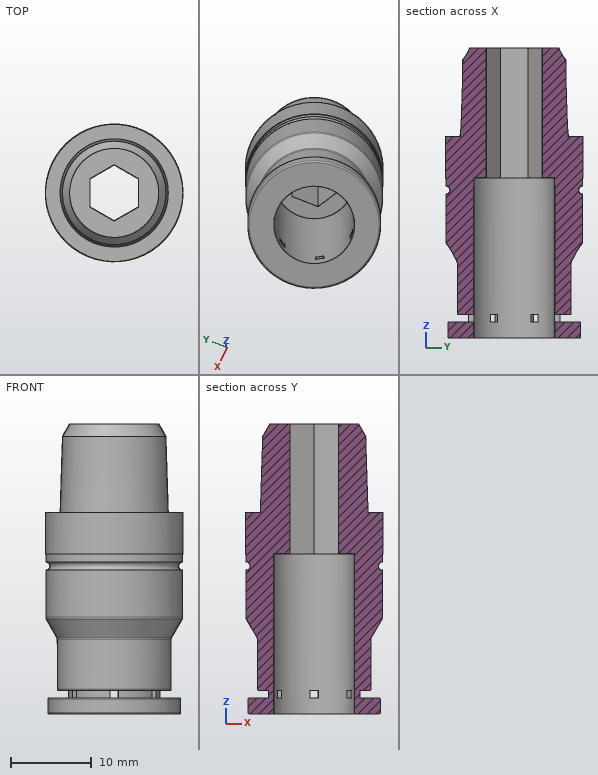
import cadquery as cq
import math

TOTAL_HEIGHT = 36.0
RING_HEIGHT = 2.0
BODY_BOTTOM = 2.9
BODY_CONE_TOP = 11.87
GROOVE_CENTRE = 18.35
COLLAR_BOTTOM = 19.85
COLLAR_TOP = 25.0

RING_RADIUS = 16.5 / 2
COLLET_RADIUS = 11.4 / 2
NECK_RADIUS = 14.14 / 2
BODY_RADIUS = 17.0 / 2
COLLAR_RADIUS = 17.1 / 2
STUB_BASE_RADIUS = 13.43 / 2
STUB_TOP_RADIUS = 12.84 / 2

CONE_ANGLE = math.radians(30)
TIP_CHAMFER_HEIGHT = 1.55
GROOVE_RADIUS = 0.5
SMALL_FILLET = 0.2
CONE_FILLET = 0.5

BORE_RADIUS = 10.0 / 2
BORE_DEPTH = COLLAR_BOTTOM
HEX_ACROSS_FLATS = 6.0
SLOT_COUNT = 6
SLOT_WIDTH = 1.0
FIRST_SLOT_ANGLE = 30.0


def cylinder(radius, bottom, top):
    return cq.Workplane("XY").workplane(offset=bottom).circle(radius).extrude(top - bottom)


def revolve_half_section(section):
    return section.close().revolve(360, (0, 0, 0), (0, 1, 0))


def release_ring():
    ring = cylinder(RING_RADIUS, 0, RING_HEIGHT)
    return ring.edges("%CIRCLE").fillet(SMALL_FILLET)


def collet():
    """Thin sleeve between ring and body, split into fingers by radial slots."""
    sleeve = cylinder(COLLET_RADIUS, RING_HEIGHT, BODY_BOTTOM)
    slot_height = BODY_BOTTOM - RING_HEIGHT
    slot = (
        cq.Workplane("XY")
        .workplane(offset=RING_HEIGHT)
        .rect(2 * RING_RADIUS, SLOT_WIDTH)
        .extrude(slot_height)
    )
    for index in range(SLOT_COUNT // 2):
        angle = FIRST_SLOT_ANGLE + index * 360 / SLOT_COUNT
        sleeve = sleeve.cut(slot.rotate((0, 0, 0), (0, 0, 1), angle))
    return sleeve


def body():
    """Narrow neck widening through a cone to the main diameter and the collar."""
    cone_height = (BODY_RADIUS - NECK_RADIUS) / math.tan(CONE_ANGLE)
    cone_bottom = BODY_CONE_TOP - cone_height
    neck_and_barrel = revolve_half_section(
        cq.Workplane("XZ")
        .moveTo(0, BODY_BOTTOM)
        .lineTo(NECK_RADIUS, BODY_BOTTOM)
        .lineTo(NECK_RADIUS, cone_bottom)
        .lineTo(BODY_RADIUS, BODY_CONE_TOP)
        .lineTo(BODY_RADIUS, COLLAR_BOTTOM)
        .lineTo(0, COLLAR_BOTTOM)
    )
    for height in (cone_bottom, BODY_CONE_TOP):
        cone_edge = cq.selectors.BoxSelector(
            (-COLLAR_RADIUS, -COLLAR_RADIUS, height - CONE_FILLET),
            (COLLAR_RADIUS, COLLAR_RADIUS, height + CONE_FILLET),
        )
        neck_and_barrel = neck_and_barrel.edges("%CIRCLE").edges(cone_edge).fillet(CONE_FILLET)
    neck_and_barrel = neck_and_barrel.faces("<Z").edges().fillet(SMALL_FILLET)
    collar = cylinder(COLLAR_RADIUS, COLLAR_BOTTOM, COLLAR_TOP)
    groove = cq.Workplane(cq.Solid.makeTorus(BODY_RADIUS, GROOVE_RADIUS, cq.Vector(0, 0, GROOVE_CENTRE)))
    return neck_and_barrel.cut(groove).union(collar)


def threaded_stub():
    """Slightly tapered stub with a chamfered tip."""
    chamfer_bottom = TOTAL_HEIGHT - TIP_CHAMFER_HEIGHT
    tip_radius = STUB_TOP_RADIUS - TIP_CHAMFER_HEIGHT * math.tan(CONE_ANGLE)
    return revolve_half_section(
        cq.Workplane("XZ")
        .moveTo(0, COLLAR_TOP)
        .lineTo(STUB_BASE_RADIUS, COLLAR_TOP)
        .lineTo(STUB_TOP_RADIUS, chamfer_bottom)
        .lineTo(tip_radius, TOTAL_HEIGHT)
        .lineTo(0, TOTAL_HEIGHT)
    )


def passage():
    """Tube bore from below, continued by a hexagon socket with corners on the Y axis."""
    hexagon = (
        cq.Workplane("XY")
        .polygon(6, HEX_ACROSS_FLATS / math.cos(math.pi / 6))
        .extrude(TOTAL_HEIGHT)
        .rotate((0, 0, 0), (0, 0, 1), 90)
    )
    return cylinder(BORE_RADIUS, 0, BORE_DEPTH).union(hexagon)


result = release_ring().union(collet()).union(body()).union(threaded_stub()).cut(passage())